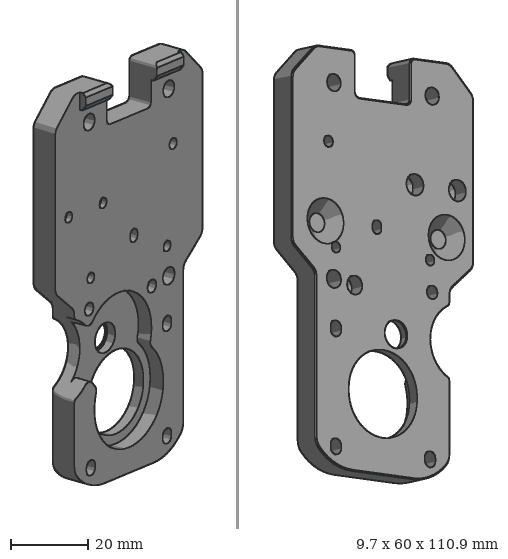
import cadquery as cq
import math

height = 110.9
width = 60.0
half_width = width / 2
thickness = 7.7
face_chamfer = 0.3
outer_round = 3.0

top_half_width = 22.2
shoulder_top_z = 103.0
slot_half_width = 9.0
slot_floor_z = 98.6
slot_round = 1.4

tail_half_width = 22.2
shoulder_bottom_z = 58.0
tail_top_z = 51.2
bottom_flat_half = 10.0
bottom_arc_radius = 15.0
bottom_corner_round = 4.7

hook_reach = 2.0
hook_height = 4.9
hook_outer_y = 20.0
hook_straight_height = 3.3
hook_bottom_bevel = 1.2
hook_top_bevel = 1.0

pocket_floor_x = 3.2
pocket_round = 2.1
gear_z = 37.6
side_notch_y = -26.3
side_notch_front_radius = 10.3
side_notch_floor_radius = 11.6
side_notch_back_radius = 11.9
side_notch_front_slope = 0.68
notch_edge_round = 1.0
gear_bore_y = -4.3
gear_bore_diameter = 7.4
gear_seat_diameter = 8.2
gear_lip = 0.5
gear_pocket_radius = 13.5

motor_z = 21.4
motor_screw_offset = 15.5
slot_travel = 0.7
pilot_width = 22.5
motor_pocket_radius = 14.0
motor_screw_width = 3.5

cone_recess_places = [(19.0, 64.9), (-21.0, 64.9)]
cone_recess_diameter = 12.0
cone_recess_floor_diameter = 5.0
cone_recess_depth = 3.5

plain_holes = [
    (4.5, [(16.2, 101.6), (-16.2, 101.6)]),
    (3.0, [(18.0, 85.9)]),
    (2.9, [(15.5, 58.3), (-15.5, 58.3)]),
    (4.8, [(16.2, 49.9)]),
    (3.5, [(-16.2, 49.9)]),
]

counterbore_depth = 4.4
counterbored_holes = [
    (2.9, 5.7, [(-10.5, 77.6), (-24.5, 77.6)]),
    (3.5, 5.0, [(9.3, 49.0)]),
]

centre_slot_width = 3.0
centre_slot_place = (2.0, 65.1)

pick_margin = 0.2


def cylinder(y, z, radius, start, end):
    return cq.Workplane("YZ", origin=(start, y, z)).circle(radius).extrude(end - start)


def cone(y, z, start_radius, end_radius, start, end):
    solid = cq.Solid.makeCone(
        start_radius, end_radius, end - start, cq.Vector(start, y, z), cq.Vector(1, 0, 0)
    )
    return cq.Workplane(obj=solid)


def upright_slot(y, z, width, start, end):
    """Slot stretched along Z by the common travel."""
    sketch = cq.Workplane("YZ", origin=(start, y, z))
    return sketch.slot2D(width + slot_travel, width, 90).extrude(end - start)


def edges_at(body, y, z):
    """Edges along X whose corner lies at (y, z)."""
    box = cq.selectors.BoxSelector(
        (-pick_margin, y - pick_margin, z - pick_margin),
        (thickness + pick_margin, y + pick_margin, z + pick_margin),
    )
    return body.edges("|X").edges(box)


def make_hooks():
    back = thickness + hook_reach
    low_z = height - hook_height
    profile = [
        (0, height),
        (back - hook_top_bevel, height),
        (back, height - hook_top_bevel),
        (back, height - hook_straight_height),
        (back - hook_bottom_bevel, low_z),
        (thickness, low_z),
        (thickness, slot_floor_z),
        (0, slot_floor_z),
    ]
    sketch = cq.Workplane("XZ", origin=(0, hook_outer_y, 0)).polyline(profile).close()
    hook = sketch.extrude(hook_outer_y - slot_half_width)
    return hook.union(hook.mirror("XZ"))


def make_plate():
    arc_centre_z = bottom_arc_radius
    side_reach = tail_half_width - bottom_flat_half
    tail_bottom_z = arc_centre_z - math.sqrt(bottom_arc_radius**2 - side_reach**2)
    half_angle = math.asin(side_reach / bottom_arc_radius) / 2
    arc_y = bottom_flat_half + bottom_arc_radius * math.sin(half_angle)
    arc_z = arc_centre_z - bottom_arc_radius * math.cos(half_angle)
    half = (
        cq.Workplane("YZ")
        .moveTo(0, 0)
        .lineTo(bottom_flat_half, 0)
        .threePointArc((arc_y, arc_z), (tail_half_width, tail_bottom_z))
        .lineTo(tail_half_width, tail_top_z)
        .lineTo(half_width, shoulder_bottom_z)
        .lineTo(half_width, shoulder_top_z)
        .lineTo(top_half_width, height)
        .lineTo(slot_half_width, height)
        .lineTo(slot_half_width, slot_floor_z)
        .lineTo(0, slot_floor_z)
        .close()
        .extrude(thickness)
    )
    plate = half.union(half.mirror("XZ")).clean().union(make_hooks()).clean()
    outer_corners = [
        (top_half_width, height),
        (half_width, shoulder_top_z),
        (half_width, shoulder_bottom_z),
        (tail_half_width, tail_top_z),
    ]
    bottom_corners = [(tail_half_width, tail_bottom_z)]
    slot_corners = [(slot_half_width, height), (slot_half_width, slot_floor_z)]
    rounds = [
        (outer_corners, outer_round),
        (bottom_corners, bottom_corner_round),
        (slot_corners, slot_round),
    ]
    for corners, radius in rounds:
        for y, z in corners:
            for side in (1, -1):
                plate = edges_at(plate, side * y, z).fillet(radius)
    return plate


def make_side_notch():
    """Round notch whose wall flares smoothly towards the back of the plate."""
    wall = [
        (0, side_notch_front_radius),
        (pocket_floor_x, side_notch_floor_radius),
        (thickness, side_notch_back_radius),
    ]
    return (
        cq.Workplane("XY", origin=(0, side_notch_y, gear_z))
        .lineTo(*wall[0])
        .spline(wall[1:], tangents=[(1, side_notch_front_slope), (1, 0)], includeCurrent=True)
        .lineTo(thickness, 0)
        .close()
        .revolve(360, (0, 0, 0), (1, 0, 0))
    )


def cut_side_notch(plate):
    plate = plate.cut(make_side_notch())
    rim_y = -tail_half_width
    rim = cq.selectors.BoxSelector(
        (-pick_margin, rim_y - pick_margin, gear_z - side_notch_back_radius),
        (thickness + pick_margin, rim_y + pick_margin, gear_z + side_notch_back_radius),
    )
    return plate.edges(rim).edges("not(#X)").fillet(notch_edge_round)


def make_back_pocket():
    """Joined gear and motor clearance with rounded cusps."""
    pocket = cylinder(gear_bore_y, gear_z, gear_pocket_radius, pocket_floor_x, thickness)
    motor = upright_slot(0, motor_z, 2 * motor_pocket_radius, pocket_floor_x, thickness)
    front_slab = cq.Workplane("YZ").rect(2 * height, 2 * height).extrude(pocket_floor_x)
    notch = make_side_notch().cut(front_slab)
    pocket = pocket.union(motor).union(notch)
    middle_x = (pocket_floor_x + thickness) / 2
    cusps = cq.selectors.BoxSelector(
        (middle_x - pick_margin, -half_width, motor_z + slot_travel),
        (middle_x + pick_margin, half_width, height),
    )
    return pocket.edges(cusps).fillet(pocket_round)


def cut_gear_bore(plate):
    bore = cylinder(gear_bore_y, gear_z, gear_bore_diameter / 2, 0, thickness)
    seat = cylinder(gear_bore_y, gear_z, gear_seat_diameter / 2, gear_lip, thickness)
    return plate.cut(bore).cut(seat)


def cut_motor_openings(plate):
    plate = plate.cut(upright_slot(0, motor_z, pilot_width, 0, thickness))
    low_z = motor_z - motor_screw_offset
    high_z = motor_z + motor_screw_offset
    screws = [
        (motor_screw_offset, low_z),
        (-motor_screw_offset, low_z),
        (motor_screw_offset, high_z),
    ]
    for y, z in screws:
        plate = plate.cut(upright_slot(y, z, motor_screw_width, 0, thickness))
    return plate


def cut_small_holes(plate):
    for diameter, places in plain_holes:
        for y, z in places:
            plate = plate.cut(cylinder(y, z, diameter / 2, 0, thickness))
    for diameter, bore, places in counterbored_holes:
        seat_end = counterbore_depth + (bore - diameter) / 2
        for y, z in places:
            plate = plate.cut(cylinder(y, z, diameter / 2, 0, thickness))
            plate = plate.cut(cylinder(y, z, bore / 2, 0, counterbore_depth))
            plate = plate.cut(cone(y, z, bore / 2, diameter / 2, counterbore_depth, seat_end))
    y, z = centre_slot_place
    return plate.cut(upright_slot(y, z, centre_slot_width, 0, thickness))


def cut_cone_recesses(plate):
    for y, z in cone_recess_places:
        recess = cone(
            y, z, cone_recess_diameter / 2, cone_recess_floor_diameter / 2, 0, cone_recess_depth
        )
        plate = plate.cut(recess)
    return plate


plate = cut_side_notch(make_plate())
plate = plate.faces("<X").edges().chamfer(face_chamfer)
plate = plate.cut(make_back_pocket())
plate = cut_gear_bore(plate)
plate = cut_motor_openings(plate)
plate = cut_small_holes(plate)
result = cut_cone_recesses(plate)